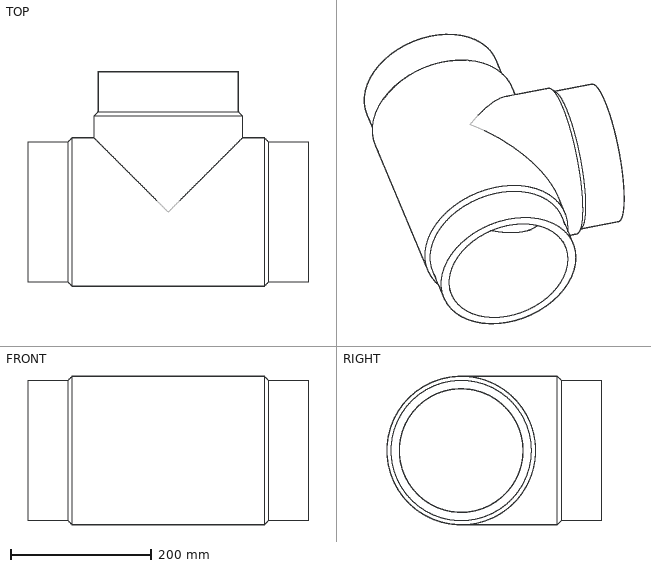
import cadquery as cq

run_length = 400.0
branch_reach = 200.0
spigot_diameter = 200.0
body_diameter = 212.0
bore_diameter = 176.0
spigot_length = 57.0

body_chamfer = (body_diameter - spigot_diameter) / 2

RUN_PLANE = "YZ"
BRANCH_PLANE = "ZX"


def cylinder(plane, diameter, start, end):
    """Cylinder about the plane's normal, between two distances from the origin."""
    return cq.Workplane(plane).workplane(offset=start).circle(diameter / 2).extrude(end - start)


def run_outside():
    """Chamfered run body with a spigot at both ends."""
    half_run = run_length / 2
    half_body = half_run - spigot_length
    body = cylinder(RUN_PLANE, body_diameter, -half_body, half_body).edges("%CIRCLE").chamfer(body_chamfer)
    return body.union(cylinder(RUN_PLANE, spigot_diameter, -half_run, half_run))


def branch_outside():
    """Branch from the run axis outwards, chamfered where its spigot begins."""
    body = cylinder(BRANCH_PLANE, body_diameter, 0, branch_reach - spigot_length)
    body = body.faces(">Y").edges().chamfer(body_chamfer)
    return body.union(cylinder(BRANCH_PLANE, spigot_diameter, 0, branch_reach))


run_bore = cylinder(RUN_PLANE, bore_diameter, -run_length / 2, run_length / 2)
branch_bore = cylinder(BRANCH_PLANE, bore_diameter, 0, branch_reach)

result = run_outside().union(branch_outside()).cut(run_bore).cut(branch_bore)